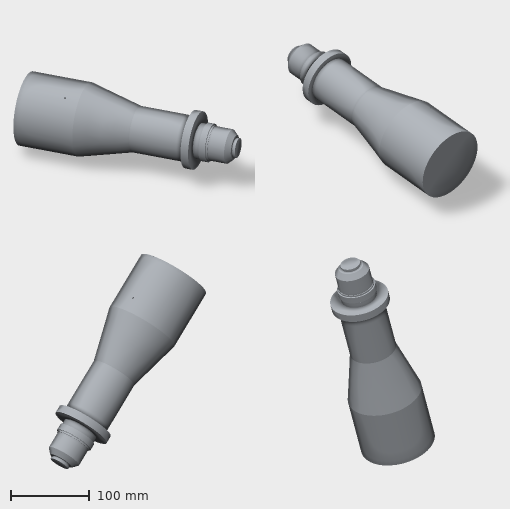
import cadquery as cq

length = 285.8
head_end_x = 79.5
taper_end_x = 149.2
flange_start_x = 221.5
flange_end_x = 231.8
ring_start_x = 233.2
collar_start_x = 241.2
collar_end_x = 249.8
ring_end_x = 252.0
nose_taper_x = 274.6
nose_end_x = 281.5
tip_start_x = 283.0

head_radius = 48.0
tube_radius = 30.0
flange_radius = 37.7
neck_radius = 20.3
ring_radius = 23.1
collar_radius = 25.0
nose_radius = 22.3
nose_end_radius = 16.0
tip_groove_radius = 12.0
tip_radius = 13.0

hole_x = 61.0
hole_diameter = 2.3
hole_depth = 3.0
hole_tilt = 30.0


def make_body():
    """Revolve the stepped half-profile about the X axis."""
    profile = [
        (0, 0),
        (0, head_radius),
        (head_end_x, head_radius),
        (taper_end_x, tube_radius),
        (flange_start_x, tube_radius),
        (flange_start_x, flange_radius),
        (flange_end_x, flange_radius),
        (flange_end_x, neck_radius),
        (ring_start_x, neck_radius),
        (ring_start_x, ring_radius),
        (collar_start_x, ring_radius),
        (collar_start_x, collar_radius),
        (collar_end_x, collar_radius),
        (collar_end_x, ring_radius),
        (ring_end_x, ring_radius),
        (ring_end_x, nose_radius),
        (nose_taper_x, nose_radius),
        (nose_end_x, nose_end_radius),
        (nose_end_x, tip_groove_radius),
        (tip_start_x, tip_groove_radius),
        (tip_start_x, tip_radius),
        (length, tip_radius),
        (length, 0),
    ]
    return cq.Workplane("XZ").polyline(profile).close().revolve(360, (0, 0), (1, 0))


def make_hole():
    """Blind radial drilling, extended outward so it clears the curved surface."""
    clearance = 3.0
    return (
        cq.Workplane("XY", origin=(hole_x, 0, head_radius - hole_depth))
        .circle(hole_diameter / 2)
        .extrude(hole_depth + clearance)
        .rotate((0, 0, 0), (1, 0, 0), hole_tilt)
    )


result = make_body().cut(make_hole())